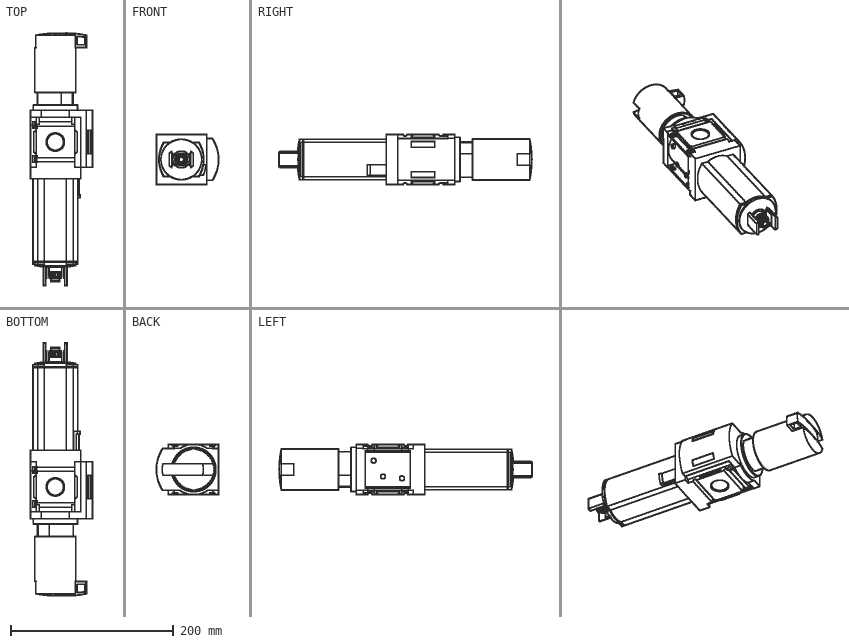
import cadquery as cq
import math


TOTAL_LENGTH = 312.0

BLOCK_FRONT = 132.0
STEP_Y = 146.5
BAND_FRONT = 208.0
BLOCK_REAR = 217.0
BLOCK_LEFT = -31.0
BLOCK_RIGHT = 31.5
BLOCK_HALF_HEIGHT = 31.05
SHOULDER_HALF_HEIGHT = 26.0
SIDE_HALF_HEIGHT = 25.43

COVER_FLAT_END = 38.5
COVER_APEX = 46.2
WINDOW_HALF_LENGTH = 14.7
WINDOW_INNER_X = 40.5
WINDOW_OUTER_X = 43.7
WINDOW_DEPTH = 0.5

PAD_LEFT = -23.7
PAD_RIGHT = 24.0
PORT_Y = 177.5
PORT_DIAMETER = 20.3
PORT_MOUTH_DIAMETER = 22.5
PORT_CHAMFER = (PORT_MOUTH_DIAMETER - PORT_DIAMETER) / 2
PORT_DEPTH = 18.7
GROOVE_DEPTH = 2.2
REAR_GROOVE = (197.0, 202.8)
FRONT_GROOVE = (153.2, 158.0)
CORNER_NOTCH_WIDTH = 3.7
CORNER_NOTCH_FRONT = 199.7
LIP_REACH = 3.0
LIP_DROP = 0.78
LIP_THICKNESS = 2.8
LIP_HALF_LENGTH = 14.7
LIP_END_BEVEL = 2.5
RAMP_LENGTH = 7.8
RAMP_START_X = -28.0
RAMP_END_X = -22.5
RAMP_FOOT_X = -25.5
RAMP_BOTTOM = 22.5
RAMP_CENTRES = (156.5, 198.5)

OPENING_FRONT = 150.0
OPENING_REAR = 205.5
OPENING_HALF_HEIGHT = 23.0
OPENING_FLOOR = -21.0
DRUM_DIAMETER = 59.3
PEG_DIAMETER = 6.0
PEG_END = -29.5
PEG_PLACES = ((195.3, 11.0), (183.8, -8.7), (160.5, -11.0))

COLLAR_DIAMETER = 55.0
COLLAR_REAR = 223.5
COLLAR_CHAMFER = 0.5
NECK_DIAMETER = 44.3
NECK_FLAT_DISTANCE = 20.0
NECK_FLAT_ANGLE = 45.0

KNOB_DIAMETER = 51.0
KNOB_FRONT = 238.0
KNOB_CHAMFER = 1.0
DOME_HEIGHT = 2.8
HASP_FRONT = 294.0
HASP_HALF_WIDTH = 7.2
HASP_SHIFT = 13.5
HASP_WALL = 2.5
HASP_FRONT_WALL = 3.7
HASP_WINDOW_SLOPE = 1.2
HASP_WINDOW_INNER_X = 26.8

BOWL_END = 26.8
BOWL_DIAMETER = 50.2
GUARD_FLAT_HALF_HEIGHT = 21.2
GUARD_FLAT_HALF_WIDTH = 21.8
GUARD_HALF_WIDTH = 27.8
SEAM_Y = 29.3
SEAM_WIDTH = 1.0
SEAM_DEPTH = 0.47
BOWL_DOME_START = 25.3
BOWL_DOME_TIP = 22.5

LATCH_FRONT = 108.5
LATCH_LIP_LENGTH = 3.7
LATCH_THICKNESS = 2.2
LATCH_LIP_THICKNESS = 3.0
LATCH_TOP = -6.5
LATCH_BOTTOM = -19.5

BLADE_OUTER_X = 14.7
BLADE_INNER_X = 11.5
BLADE_OUTER_HALF_WIDTH = 7.8
BLADE_INNER_HALF_WIDTH = 10.0
BLADE_TIP_CHAMFER = 1.2
BLADE_RIB_TIP = 9.7
BLADE_RIB_INNER_X = 10.5
DRAIN_DIAMETER = 16.0
DRAIN_RECESS_DIAMETER = 21.0
DRAIN_RECESS_DEPTH = 1.0
KNURL_FRONT = 11.2
KNURL_REAR = 16.2
KNURL_COUNT = 12
KNURL_WIDTH = 1.2
KNURL_DEPTH = 1.2
DRAIN_SECTIONS = (
    (DRAIN_DIAMETER, 17.5),
    (12.0, KNURL_REAR),
    (DRAIN_DIAMETER, KNURL_FRONT),
    (14.5, 9.5),
    (11.0, 7.2),
    (9.7, 6.2),
    (11.0, 5.3),
)
DRAIN_BORE_DIAMETER = 6.0
DRAIN_BORE_DEPTH = 9.5


def box(x_range, y_range, z_range):
    """Box between the given limits."""
    sizes = [high - low for low, high in (x_range, y_range, z_range)]
    corner = (x_range[0], y_range[0], z_range[0])
    return cq.Workplane("XY").box(*sizes, centered=False).translate(corner)


def section_at(y):
    """Sketch plane across the axis; its x and y are X and Z."""
    return cq.Workplane("XZ", origin=(0, y, 0))


def cylinder(diameter, y_front, y_rear):
    """Cylinder on the Y axis."""
    return section_at(y_front).circle(diameter / 2).extrude(y_front - y_rear)


def both_sides(shape):
    """The shape together with its mirror image below the XY plane."""
    return shape.union(shape.mirror("XY"))


def make_block():
    front_slab = box(
        (BLOCK_LEFT, BLOCK_RIGHT),
        (BLOCK_FRONT, STEP_Y),
        (-BLOCK_HALF_HEIGHT, BLOCK_HALF_HEIGHT),
    )
    core = box(
        (BLOCK_LEFT, BLOCK_RIGHT),
        (STEP_Y, BAND_FRONT),
        (-SIDE_HALF_HEIGHT, SIDE_HALF_HEIGHT),
    )
    return front_slab.union(core).union(make_band())


def make_band():
    """Rear band with an arch on the axis above and below."""
    band = box(
        (BLOCK_LEFT, BLOCK_RIGHT),
        (BAND_FRONT, BLOCK_REAR),
        (-SHOULDER_HALF_HEIGHT, SHOULDER_HALF_HEIGHT),
    )
    arch_radius = BLOCK_HALF_HEIGHT
    arch_half_width = math.sqrt(arch_radius**2 - SHOULDER_HALF_HEIGHT**2)
    arch = cylinder(2 * arch_radius, BAND_FRONT, BLOCK_REAR).intersect(
        box(
            (-arch_half_width, arch_half_width),
            (BAND_FRONT, BLOCK_REAR),
            (-arch_radius, arch_radius),
        )
    )
    return band.union(arch)


def make_cover():
    cover = (
        section_at(STEP_Y)
        .moveTo(BLOCK_RIGHT, -SHOULDER_HALF_HEIGHT)
        .lineTo(COVER_FLAT_END, -SHOULDER_HALF_HEIGHT)
        .threePointArc((COVER_APEX, 0), (COVER_FLAT_END, SHOULDER_HALF_HEIGHT))
        .lineTo(BLOCK_RIGHT, SHOULDER_HALF_HEIGHT)
        .close()
        .extrude(STEP_Y - BLOCK_REAR)
    )
    return cover.cut(both_sides(make_cover_window()))


def make_cover_window():
    """Cutter for the shallow rectangular recess in the curved face, above the XY plane."""
    sagitta = COVER_APEX - COVER_FLAT_END
    radius = (SHOULDER_HALF_HEIGHT**2 + sagitta**2) / (2 * sagitta)
    centre_x = COVER_APEX - radius
    profile = []
    for edge_x in (WINDOW_INNER_X, WINDOW_OUTER_X):
        angle = math.acos((edge_x - centre_x) / radius)
        for distance in (radius - WINDOW_DEPTH, radius + WINDOW_DEPTH):
            profile.append((centre_x + distance * math.cos(angle), distance * math.sin(angle)))
    inner_low, inner_high, outer_low, outer_high = profile
    return (
        section_at(PORT_Y - WINDOW_HALF_LENGTH)
        .polyline([inner_low, inner_high, outer_high, outer_low])
        .close()
        .extrude(-2 * WINDOW_HALF_LENGTH)
    )


def make_pad():
    """Raised pad around the +Z port with its grooves, ramps, notches and side lips."""
    pad = box((PAD_LEFT, PAD_RIGHT), (STEP_Y, BAND_FRONT), (0, BLOCK_HALF_HEIGHT))
    for front_y, rear_y in (FRONT_GROOVE, REAR_GROOVE):
        groove = (
            cq.Workplane("YZ", origin=(PAD_LEFT, 0, 0))
            .moveTo(front_y, BLOCK_HALF_HEIGHT)
            .threePointArc(
                ((front_y + rear_y) / 2, BLOCK_HALF_HEIGHT - GROOVE_DEPTH),
                (rear_y, BLOCK_HALF_HEIGHT),
            )
            .close()
            .extrude(PAD_RIGHT - PAD_LEFT)
        )
        pad = pad.cut(groove)
    for notch_left in (PAD_LEFT, PAD_RIGHT - CORNER_NOTCH_WIDTH):
        notch = box(
            (notch_left, notch_left + CORNER_NOTCH_WIDTH),
            (CORNER_NOTCH_FRONT, BAND_FRONT),
            (BLOCK_HALF_HEIGHT - GROOVE_DEPTH, BLOCK_HALF_HEIGHT),
        )
        pad = pad.cut(notch)
    return pad.union(make_lip(PAD_LEFT, -1)).union(make_lip(PAD_RIGHT, 1))


def make_lip(edge_x, side):
    """Clamping lip with bevelled ends and a sloping underside."""
    tip_x = edge_x + side * LIP_REACH
    outline = [
        (edge_x, PORT_Y - LIP_HALF_LENGTH),
        (tip_x, PORT_Y - LIP_HALF_LENGTH + LIP_END_BEVEL),
        (tip_x, PORT_Y + LIP_HALF_LENGTH - LIP_END_BEVEL),
        (edge_x, PORT_Y + LIP_HALF_LENGTH),
    ]
    lip = cq.Workplane("XY").polyline(outline).close().extrude(BLOCK_HALF_HEIGHT)
    top = BLOCK_HALF_HEIGHT - LIP_DROP
    wedge = (
        section_at(PORT_Y - LIP_HALF_LENGTH)
        .moveTo(edge_x, top)
        .lineTo(tip_x, top)
        .lineTo(edge_x, top - LIP_THICKNESS)
        .close()
        .extrude(-2 * LIP_HALF_LENGTH)
    )
    return lip.intersect(wedge)


def make_ramp(centre_y):
    """Cutter for a notch that slopes down from the pad and breaks into the -X opening."""
    return (
        section_at(centre_y - RAMP_LENGTH / 2)
        .moveTo(RAMP_END_X, BLOCK_HALF_HEIGHT)
        .lineTo(RAMP_START_X, BLOCK_HALF_HEIGHT)
        .lineTo(RAMP_START_X, RAMP_BOTTOM)
        .lineTo(RAMP_FOOT_X, RAMP_BOTTOM)
        .close()
        .extrude(-RAMP_LENGTH)
    )


def make_port():
    """Cutter for the +Z port with a chamfered mouth."""
    return (
        cq.Workplane("XY", origin=(0, PORT_Y, BLOCK_HALF_HEIGHT))
        .circle(PORT_DIAMETER / 2)
        .extrude(-PORT_DEPTH)
        .faces(">Z")
        .workplane()
        .circle(PORT_MOUTH_DIAMETER / 2)
        .workplane(offset=-PORT_CHAMFER)
        .circle(PORT_DIAMETER / 2)
        .loft(combine=True)
    )


def make_opening():
    """Cutter for the -X opening: a box that leaves the drum and its pegs standing."""
    opening = box(
        (BLOCK_LEFT, OPENING_FLOOR),
        (OPENING_FRONT, OPENING_REAR),
        (-OPENING_HALF_HEIGHT, OPENING_HALF_HEIGHT),
    )
    opening = opening.cut(cylinder(DRUM_DIAMETER, OPENING_FRONT, OPENING_REAR))
    for y, z in PEG_PLACES:
        peg = (
            cq.Workplane("YZ", origin=(PEG_END, y, z))
            .circle(PEG_DIAMETER / 2)
            .extrude(OPENING_FLOOR - PEG_END)
        )
        opening = opening.cut(peg)
    return opening


def make_neck():
    collar = cylinder(COLLAR_DIAMETER, BLOCK_REAR, COLLAR_REAR)
    collar = collar.faces(">Y").edges().chamfer(COLLAR_CHAMFER)
    neck = cylinder(NECK_DIAMETER, COLLAR_REAR, KNOB_FRONT)
    flats = (
        section_at(COLLAR_REAR)
        .transformed(rotate=(0, 0, NECK_FLAT_ANGLE))
        .rect(2 * NECK_FLAT_DISTANCE, NECK_DIAMETER)
        .extrude(COLLAR_REAR - KNOB_FRONT)
    )
    return collar.union(neck.intersect(flats))


def make_housing():
    housing = make_block().union(make_cover()).union(both_sides(make_pad()))
    housing = housing.cut(make_port()).cut(make_port().mirror("XY"))
    for centre_y in RAMP_CENTRES:
        housing = housing.cut(both_sides(make_ramp(centre_y)))
    return housing.cut(make_opening()).union(make_neck())


def make_knob_blank():
    """Cylinder with a domed rear end and a chamfered front edge."""
    radius = KNOB_DIAMETER / 2
    dome_radius = (radius**2 + DOME_HEIGHT**2) / (2 * DOME_HEIGHT)
    middle_r = radius / 2
    dome_drop = dome_radius - math.sqrt(dome_radius**2 - middle_r**2)
    return (
        cq.Workplane("XY")
        .moveTo(0, KNOB_FRONT)
        .lineTo(radius - KNOB_CHAMFER, KNOB_FRONT)
        .lineTo(radius, KNOB_FRONT + KNOB_CHAMFER)
        .lineTo(radius, TOTAL_LENGTH - DOME_HEIGHT)
        .threePointArc((middle_r, TOTAL_LENGTH - dome_drop), (0, TOTAL_LENGTH))
        .close()
        .revolve(360, (0, 0, 0), (0, 1, 0))
    )


def make_knob():
    """Knob with its padlock hasp: a slice of the knob pulled out towards +X."""
    blank = make_knob_blank()
    slice_box = box(
        (-KNOB_DIAMETER, KNOB_DIAMETER),
        (HASP_FRONT, TOTAL_LENGTH),
        (-HASP_HALF_WIDTH, HASP_HALF_WIDTH),
    )
    hasp = blank.intersect(slice_box).translate((HASP_SHIFT, 0, 0))
    hasp_tip = KNOB_DIAMETER / 2 + HASP_SHIFT
    window_rear = TOTAL_LENGTH - DOME_HEIGHT - HASP_WALL
    window = (
        cq.Workplane("XY", origin=(0, 0, -HASP_HALF_WIDTH))
        .moveTo(HASP_WINDOW_INNER_X, HASP_FRONT + HASP_FRONT_WALL)
        .lineTo(hasp_tip - HASP_WALL, HASP_FRONT + HASP_FRONT_WALL)
        .lineTo(hasp_tip - HASP_WALL, window_rear)
        .lineTo(HASP_WINDOW_INNER_X, window_rear + HASP_WINDOW_SLOPE)
        .close()
        .extrude(2 * HASP_HALF_WIDTH)
    )
    return blank.cut(slice_box).union(hasp.cut(window))


def make_guard(growth, y_front, y_rear):
    """Prism with two flats and two bulging sides, widened on each side by the growth."""
    flat_x = GUARD_FLAT_HALF_WIDTH + growth
    bulge_x = GUARD_HALF_WIDTH + growth
    flat_z = GUARD_FLAT_HALF_HEIGHT + growth
    return (
        section_at(y_front)
        .moveTo(-flat_x, -flat_z)
        .lineTo(flat_x, -flat_z)
        .threePointArc((bulge_x, 0), (flat_x, flat_z))
        .lineTo(-flat_x, flat_z)
        .threePointArc((-bulge_x, 0), (-flat_x, -flat_z))
        .close()
        .extrude(y_front - y_rear)
    )


def make_bowl_shell():
    radius = BOWL_DIAMETER / 2
    dome_height = BOWL_DOME_START - BOWL_DOME_TIP
    tube = (
        cq.Workplane("XY")
        .moveTo(0, BLOCK_FRONT)
        .lineTo(radius, BLOCK_FRONT)
        .lineTo(radius, BOWL_DOME_START)
        .threePointArc((radius / 2, BOWL_DOME_TIP + dome_height / 4), (0, BOWL_DOME_TIP))
        .close()
        .revolve(360, (0, 0, 0), (0, 1, 0))
    )
    guard = make_guard(0, BOWL_END, BLOCK_FRONT)
    seam_rear = SEAM_Y + SEAM_WIDTH
    seam = make_guard(BOWL_DIAMETER, SEAM_Y, seam_rear)
    seam = seam.cut(make_guard(-SEAM_DEPTH, SEAM_Y, seam_rear))
    seam = seam.cut(cylinder(BOWL_DIAMETER - 2 * SEAM_DEPTH, SEAM_Y, seam_rear))
    recess = cylinder(DRAIN_RECESS_DIAMETER, BOWL_DOME_TIP, BOWL_DOME_TIP + DRAIN_RECESS_DEPTH)
    return guard.union(tube).cut(seam).cut(recess)


def make_latch():
    lip_rear = LATCH_FRONT + LATCH_LIP_LENGTH
    bar = make_guard(LATCH_THICKNESS, lip_rear, BLOCK_FRONT)
    lip = make_guard(LATCH_LIP_THICKNESS, LATCH_FRONT, lip_rear)
    region = box(
        (GUARD_FLAT_HALF_WIDTH, COVER_APEX),
        (LATCH_FRONT, BLOCK_FRONT),
        (LATCH_BOTTOM, LATCH_TOP),
    )
    return bar.union(lip).intersect(region)


def make_blade(side):
    """Drain guard blade; side is +1 for +X and -1 for -X."""
    blade = (
        section_at(0)
        .moveTo(side * BLADE_INNER_X, -BLADE_INNER_HALF_WIDTH)
        .lineTo(side * BLADE_OUTER_X, -BLADE_OUTER_HALF_WIDTH)
        .lineTo(side * BLADE_OUTER_X, BLADE_OUTER_HALF_WIDTH)
        .lineTo(side * BLADE_INNER_X, BLADE_INNER_HALF_WIDTH)
        .close()
        .extrude(-BOWL_END)
    )
    tip = (
        box(
            (-BLADE_OUTER_X, BLADE_OUTER_X),
            (0, BOWL_END),
            (-BLADE_INNER_HALF_WIDTH, BLADE_INNER_HALF_WIDTH),
        )
        .faces("<Y")
        .edges("|X")
        .chamfer(BLADE_TIP_CHAMFER)
    )
    rib_x = sorted((side * BLADE_INNER_X, side * BLADE_RIB_INNER_X))
    rib = box(
        rib_x,
        (BLADE_RIB_TIP, BOWL_END),
        (-BLADE_OUTER_HALF_WIDTH, BLADE_OUTER_HALF_WIDTH),
    )
    return blade.intersect(tip).union(rib)


def make_drain():
    rear_y = BOWL_END
    drain = None
    for diameter, front_y in DRAIN_SECTIONS:
        section = cylinder(diameter, front_y, rear_y)
        drain = section if drain is None else drain.union(section)
        rear_y = front_y
    bore = cylinder(DRAIN_BORE_DIAMETER, rear_y, rear_y + DRAIN_BORE_DEPTH)
    knurl_cutter = box(
        (DRAIN_DIAMETER / 2 - KNURL_DEPTH, DRAIN_DIAMETER),
        (KNURL_FRONT, KNURL_REAR),
        (-KNURL_WIDTH / 2, KNURL_WIDTH / 2),
    )
    for index in range(KNURL_COUNT):
        angle = 360 / KNURL_COUNT * index
        drain = drain.cut(knurl_cutter.rotate((0, 0, 0), (0, 1, 0), angle))
    return drain.cut(bore)


def make_bowl():
    bowl = make_bowl_shell().union(make_latch()).union(make_drain())
    for side in (-1, 1):
        bowl = bowl.union(make_blade(side))
    return bowl


housing = make_housing()
knob = make_knob()
bowl = make_bowl()
result = cq.Compound.makeCompound([housing.val(), knob.val(), bowl.val()])